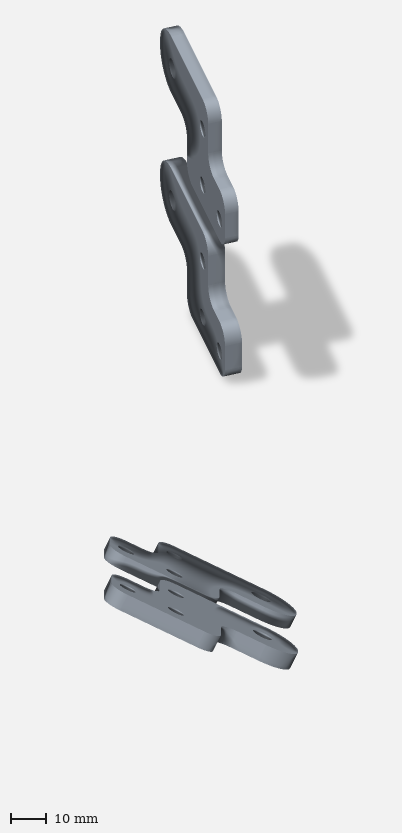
import cadquery as cq

plate_length = 58.0
plate_height = 40.0
arm_height = 21.0
arm_right = 43.0
foot_left = 24.0
step_z = plate_height - arm_height

corner_radius = 5.0
nose_radius = 10.0

pivot_diameter = 6.0
pivot_inset = 11.0
bolt_diameter = 5.0
foot_bolt_z = 8.0
arm_hole_z = plate_height - pivot_inset
inner_bolt_x = arm_right - corner_radius
outer_bolt_x = plate_length - corner_radius

lower_thickness = 5.0
upper_thickness = 4.0
total_height = 89.0
upper_plate_z = total_height - plate_height


def plate_blank(thickness):
    """Stepped plate with rounded corners, front face on Y = 0, extending to +Y."""
    outline = [
        (foot_left, 0),
        (plate_length, 0),
        (plate_length, step_z),
        (arm_right, step_z),
        (arm_right, plate_height),
        (0, plate_height),
        (0, step_z),
        (foot_left, step_z),
    ]
    blank = cq.Workplane("XZ").polyline(outline).close().extrude(-thickness)
    blank = blank.edges("|Y and (not <X)").fillet(corner_radius)
    return blank.edges("|Y and <X").fillet(nose_radius)


def hole_cutters(diameter, centres, thickness):
    """Cylinders through the plate thickness at the given (X, Z) centres."""
    return cq.Workplane("XZ").pushPoints(centres).circle(diameter / 2).extrude(-thickness)


def link_plate(thickness, bottom_z):
    """One complete plate with its pivot and bolt holes."""
    pivot_centres = [(pivot_inset, arm_hole_z)]
    bolt_centres = [
        (inner_bolt_x, arm_hole_z),
        (inner_bolt_x, foot_bolt_z),
        (outer_bolt_x, foot_bolt_z),
    ]
    plate = plate_blank(thickness)
    plate = plate.cut(hole_cutters(pivot_diameter, pivot_centres, thickness))
    plate = plate.cut(hole_cutters(bolt_diameter, bolt_centres, thickness))
    return plate.solids().translate((0, 0, bottom_z))


lower_plate = link_plate(lower_thickness, 0)
upper_plate = link_plate(upper_thickness, upper_plate_z)

result = cq.Compound.makeCompound([lower_plate.val(), upper_plate.val()])